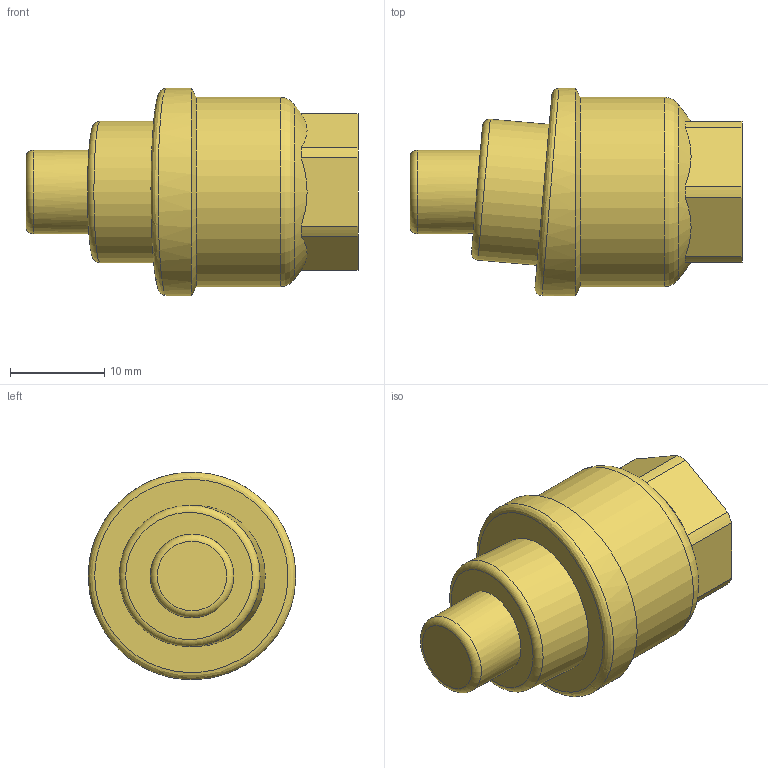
import cadquery as cq
import math

total_length = 35.22

pin_diameter = 8.85
collar_diameter = 22.0
collar_back_x = 17.55
collar_chamfer_length = 0.5
body_diameter = 20.1
front_fillet = 0.75

shoulder_start_x = 26.95
shoulder_radius = 1.9
shoulder_angle = math.radians(53)

hex_flats = 15.0
hex_turned_diameter = 16.65

tilt_angle = 5.0
boss_diameter = 15.0
tilt_center_x = 10.7
boss_front_offset = 3.6
collar_face_x = 14.15


def tilted_workplane(x):
    """Plane through (x, 0, 0) whose normal points forward (-X) and is tilted towards +Y."""
    angle = math.radians(tilt_angle)
    normal = (-math.cos(angle), math.sin(angle), 0)
    return cq.Workplane(cq.Plane(origin=(x, 0, 0), xDir=(0, 0, 1), normal=normal))


def make_pin():
    """Straight round pin, rounded at its tip, reaching into the collar."""
    pin = cq.Workplane("YZ").circle(pin_diameter / 2).extrude(collar_back_x)
    return pin.faces("<X").edges().fillet(front_fillet)


def make_boss():
    """Tilted round boss, rounded at its front, reaching into the collar."""
    boss_depth = collar_back_x - tilt_center_x
    boss = (
        tilted_workplane(tilt_center_x)
        .workplane(offset=-boss_depth)
        .circle(boss_diameter / 2)
        .extrude(boss_depth + boss_front_offset)
    )
    return boss.faces("<X").edges().fillet(front_fillet)


def make_collar():
    """Collar with a tilted, rounded front face."""
    collar = cq.Workplane("YZ").circle(collar_diameter / 2).extrude(collar_back_x)
    front_waste = tilted_workplane(collar_face_x).rect(2 * collar_diameter, 2 * collar_diameter)
    collar = collar.cut(front_waste.extrude(2 * collar_back_x))
    return collar.faces("<X").edges().fillet(front_fillet)


def make_body():
    """Turned body: collar chamfer, cylinder, rounded shoulder and cone down to the hexagon."""
    collar_radius = collar_diameter / 2
    body_radius = body_diameter / 2
    cone_end_radius = hex_flats / 2

    def shoulder_point(angle):
        return (
            shoulder_start_x + shoulder_radius * math.sin(angle),
            body_radius - shoulder_radius * (1 - math.cos(angle)),
        )

    cone_start = shoulder_point(shoulder_angle)
    cone_end_x = cone_start[0] + (cone_start[1] - cone_end_radius) / math.tan(shoulder_angle)
    profile = (
        cq.Workplane("XY")
        .moveTo(collar_back_x, 0)
        .lineTo(collar_back_x, collar_radius)
        .lineTo(collar_back_x + collar_chamfer_length, body_radius)
        .lineTo(shoulder_start_x, body_radius)
        .threePointArc(shoulder_point(shoulder_angle / 2), cone_start)
        .lineTo(cone_end_x, cone_end_radius)
        .lineTo(cone_end_x, 0)
        .close()
    )
    return profile.revolve(360, (0, 0, 0), (1, 0, 0))


def make_hexagon():
    """Hexagon with flats facing +Y and -Y and its corners turned down."""
    length = total_length - shoulder_start_x
    base = cq.Workplane("YZ", origin=(shoulder_start_x, 0, 0))
    corner_circle = hex_flats / math.cos(math.pi / 6)
    hexagon = base.transformed(rotate=(0, 0, 90)).polygon(6, corner_circle).extrude(length)
    return hexagon.intersect(base.circle(hex_turned_diameter / 2).extrude(length))


result = make_collar().union(make_body()).union(make_hexagon()).union(make_boss()).union(make_pin())